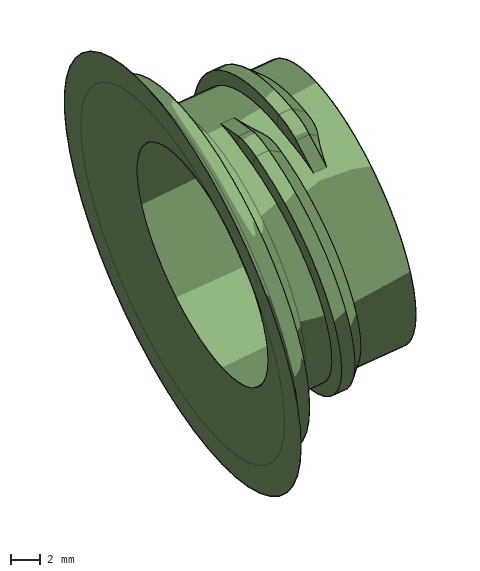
import cadquery as cq
import math

LENGTH = 12.23
FLANGE_RADIUS = 16.565
BORE_RADIUS = 9.15
NECK_RADIUS = 10.75

MOUTH_RADIUS = 14.25
MOUTH_DEPTH = 1.55

SHOULDER_RADIUS = 14.0
SHOULDER_HEIGHT = 2.1
FILLET_RADIUS = 1.5
RIM_SLOPE = math.radians(23.5)

PITCH = 3.18
THREAD_DEPTH = 1.05
CREST_WIDTH = 1.04
UPPER_FLANK_RUN = THREAD_DEPTH
LOWER_FLANK_RUN = 0.18
THREAD_MIDDLE_HEIGHT = 7.12
THREAD_START_ANGLE = 5.6
BLEND_ANGLE = 2 * THREAD_START_ANGLE
BLEND_DROP = 0.34
BLEND_STEPS = 4
TIP_ANGLE = 12.8
THREAD_EMBED = 0.3
TIP_EMBED = 0.01

PART_PLANE = cq.Plane(origin=(0, 0, 0), xDir=(0, 0, 1), normal=(0, 1, 0))


def make_body():
    """Neck, shoulder and flange with bore and mouth, revolved about local Z."""
    rim_arc_center = (SHOULDER_RADIUS + FILLET_RADIUS, SHOULDER_HEIGHT)
    neck_arc_center = (NECK_RADIUS + FILLET_RADIUS, SHOULDER_HEIGHT + FILLET_RADIUS)

    def arc_point(center, angle):
        """Point on a concave fillet, at an angle measured down from its inner side."""
        return (
            center[0] - FILLET_RADIUS * math.cos(angle),
            center[1] - FILLET_RADIUS * math.sin(angle),
        )

    rim_arc_end = math.pi / 2 - RIM_SLOPE
    profile = (
        cq.Workplane("YZ")
        .moveTo(MOUTH_RADIUS, 0)
        .lineTo(FLANGE_RADIUS, 0)
        .lineTo(*arc_point(rim_arc_center, rim_arc_end))
        .threePointArc(
            arc_point(rim_arc_center, rim_arc_end / 2),
            (SHOULDER_RADIUS, SHOULDER_HEIGHT),
        )
        .lineTo(neck_arc_center[0], SHOULDER_HEIGHT)
        .threePointArc(
            arc_point(neck_arc_center, math.pi / 4),
            (NECK_RADIUS, neck_arc_center[1]),
        )
        .lineTo(NECK_RADIUS, LENGTH)
        .lineTo(BORE_RADIUS, LENGTH)
        .lineTo(BORE_RADIUS, MOUTH_DEPTH)
        .close()
    )
    return profile.revolve(360, (0, 0, 0), (0, 1, 0))


def thread_section(angle, drop):
    """Thread profile wire at an angle around the neck, sunk radially by drop."""
    turn = math.radians(angle)
    height = THREAD_MIDDLE_HEIGHT + PITCH * (angle - 180) / 360
    plane = cq.Plane(
        origin=(0, 0, height),
        xDir=(math.cos(turn), math.sin(turn), 0),
        normal=(math.sin(turn), -math.cos(turn), 0),
    )
    crest_radius = NECK_RADIUS + THREAD_DEPTH - drop
    root_radius = NECK_RADIUS - THREAD_EMBED - drop
    flank_extension = (crest_radius - root_radius) / THREAD_DEPTH
    half_crest = CREST_WIDTH / 2
    return cq.Workplane(plane).polyline([
        (root_radius, -half_crest - LOWER_FLANK_RUN * flank_extension),
        (crest_radius, -half_crest),
        (crest_radius, half_crest),
        (root_radius, half_crest + UPPER_FLANK_RUN * flank_extension),
    ]).close()


def make_full_thread():
    """Full-depth part of the thread, swept along a helix."""
    sweep_angle = 360 - 2 * THREAD_START_ANGLE
    start_height = THREAD_MIDDLE_HEIGHT - PITCH * (sweep_angle / 2) / 360
    helix = cq.Wire.makeHelix(PITCH, PITCH * sweep_angle / 360, NECK_RADIUS)
    helix = helix.rotate(cq.Vector(0, 0, 0), cq.Vector(0, 0, 1), THREAD_START_ANGLE)
    helix = helix.translate(cq.Vector(0, 0, start_height))
    return thread_section(THREAD_START_ANGLE, 0).sweep(cq.Workplane(helix), isFrenet=True)


def make_fade(start_angle, direction):
    """Run-out that bends inwards and then runs straight into the neck surface."""
    blend_sections = []
    for step in range(BLEND_STEPS + 1):
        fraction = step / BLEND_STEPS
        angle = start_angle + direction * BLEND_ANGLE * fraction
        blend_sections.append(thread_section(angle, BLEND_DROP * fraction**3).val())
    tip_angle = start_angle + direction * (BLEND_ANGLE + TIP_ANGLE)
    tip_section = thread_section(tip_angle, THREAD_DEPTH + TIP_EMBED).val()
    blend = cq.Workplane(cq.Solid.makeLoft(blend_sections))
    tip = cq.Solid.makeLoft([blend_sections[-1], tip_section], True)
    return blend.union(cq.Workplane(tip))


body = make_body()
full_thread = make_full_thread()
start_fade = make_fade(THREAD_START_ANGLE, -1)
end_fade = make_fade(360 - THREAD_START_ANGLE, 1)
part = body.union(full_thread).union(start_fade).union(end_fade)

result = cq.Workplane(part.solids().val().moved(cq.Location(PART_PLANE)))